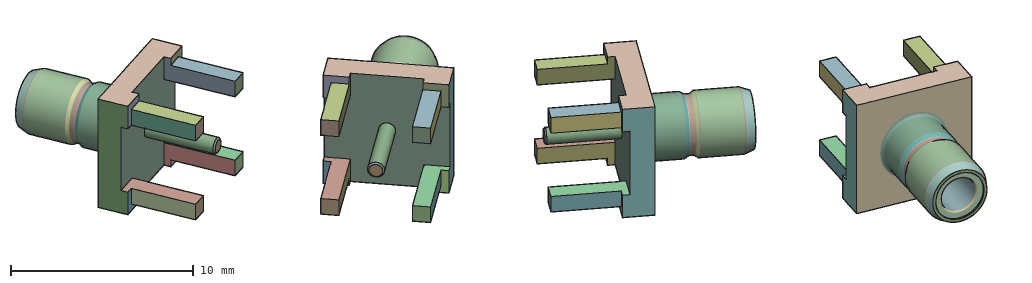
import cadquery as cq

total_length = 11.6
plate_side = 7.0

plate_front = 5.88
pad_back = 7.69
recess_back = 7.27
leg_outer = 3.05
leg_inner = 2.04

barrel_radius = 1.87
nose_radius = 1.65
nose_length = 0.57
nose_edge_blend = 0.2
root_fillet = 0.19

groove_radius = 1.7
groove_start = 3.09
groove_floor_start = 3.32
groove_floor_end = 3.64
groove_end = 3.89
groove_edge_blend = 0.07

counterbore_radius = 1.46
counterbore_depth = 0.1
bore_radius = 1.05
bore_mouth_round = 0.09
bore_depth = 5.1

contact_radius = 0.28
contact_tip_radius = 0.13
contact_start = 2.09
contact_taper = 0.15
solder_radius = 0.48
solder_end = 11.53
solder_chamfer = 0.09


def revolve_profile(points):
    """Revolve an (x, radius) outline around the connector axis."""
    return cq.Workplane("XY").polyline(points).close().revolve(360, (0, 0, 0), (1, 0, 0))


def box_along_x(start, end, width, height):
    """Centred box spanning start to end along X."""
    return cq.Workplane("YZ").workplane(offset=start).rect(width, height).extrude(end - start)


def make_plate():
    plate = box_along_x(plate_front, pad_back, plate_side, plate_side)
    slot_width = 2 * leg_inner
    plate = plate.cut(box_along_x(recess_back, pad_back, slot_width, plate_side))
    return plate.cut(box_along_x(recess_back, pad_back, plate_side, slot_width))


def make_legs():
    leg_width = leg_outer - leg_inner
    leg_spacing = leg_outer + leg_inner
    return (
        cq.Workplane("YZ")
        .workplane(offset=recess_back)
        .rect(leg_spacing, leg_spacing, forConstruction=True)
        .vertices()
        .rect(leg_width, leg_width)
        .extrude(total_length - recess_back)
    )


def circles_between(start, end):
    """Selector for circular edges centred between two X positions."""
    return cq.selectors.BoxSelector(
        (start, -plate_side, -plate_side),
        (end, plate_side, plate_side),
    ) & cq.selectors.TypeSelector("CIRCLE")


def make_barrel():
    barrel = revolve_profile([
        (0, 0),
        (0, nose_radius),
        (nose_length, barrel_radius),
        (groove_start, barrel_radius),
        (groove_floor_start, groove_radius),
        (groove_floor_end, groove_radius),
        (groove_end, barrel_radius),
        (plate_front, barrel_radius),
        (plate_front, 0),
    ])
    barrel = barrel.edges(circles_between(nose_length / 2, groove_start - 0.12)).fillet(nose_edge_blend)
    return barrel.edges(circles_between(groove_start - 0.12, groove_end + 0.12)).fillet(groove_edge_blend)


def make_root_fillet():
    """Concave ring where the barrel meets the plate."""
    rim_radius = barrel_radius + root_fillet
    fillet_start = plate_front - root_fillet
    arc_offset = root_fillet * 0.5 ** 0.5
    return (
        cq.Workplane("XY")
        .moveTo(fillet_start, barrel_radius)
        .threePointArc(
            (fillet_start + arc_offset, rim_radius - arc_offset),
            (plate_front, rim_radius),
        )
        .lineTo(plate_front, barrel_radius)
        .close()
        .revolve(360, (0, 0, 0), (1, 0, 0))
    )


def make_socket():
    counterbore = revolve_profile([
        (0, 0),
        (0, counterbore_radius),
        (counterbore_depth, counterbore_radius),
        (counterbore_depth, 0),
    ])
    mouth_radius = bore_radius + bore_mouth_round
    mouth_end = counterbore_depth + bore_mouth_round
    arc_offset = bore_mouth_round * 0.5 ** 0.5
    bore = (
        cq.Workplane("XY")
        .moveTo(counterbore_depth, 0)
        .lineTo(counterbore_depth, mouth_radius)
        .threePointArc(
            (mouth_end - arc_offset, mouth_radius - arc_offset),
            (mouth_end, bore_radius),
        )
        .lineTo(bore_depth, bore_radius)
        .lineTo(bore_depth, 0)
        .close()
        .revolve(360, (0, 0, 0), (1, 0, 0))
    )
    return counterbore.union(bore)


def make_contact_pin():
    return revolve_profile([
        (contact_start, 0),
        (contact_start, contact_tip_radius),
        (contact_start + contact_taper, contact_radius),
        (bore_depth, contact_radius),
        (bore_depth, 0),
    ])


def make_solder_pin():
    return revolve_profile([
        (recess_back, 0),
        (recess_back, solder_radius),
        (solder_end - solder_chamfer, solder_radius),
        (solder_end, solder_radius - solder_chamfer),
        (solder_end, 0),
    ])


shell = make_plate().union(make_barrel()).union(make_root_fillet()).cut(make_socket())
result = shell.union(make_legs()).union(make_contact_pin()).union(make_solder_pin())